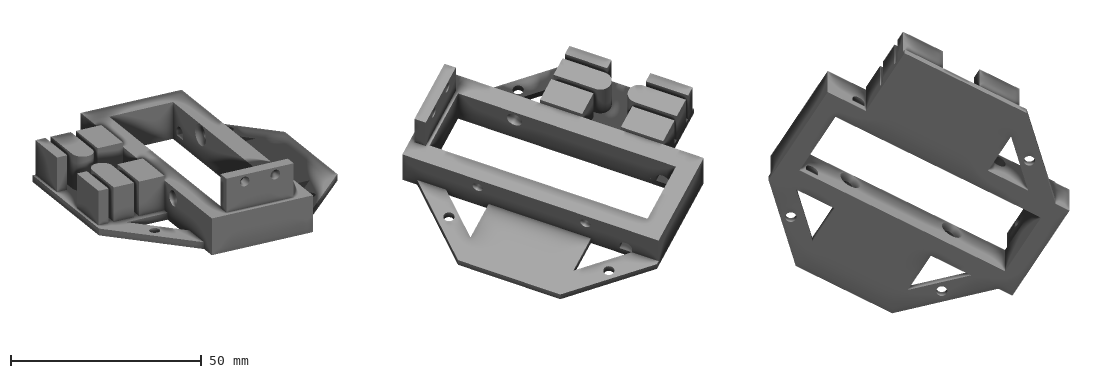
import cadquery as cq


frame_length = 73.05
frame_width = 30.0
frame_height = 8.7
opening_length = 62.1
opening_width = 18.9
opening_left = 5.55
wall = (frame_width - opening_width) / 2

plate_thickness = 2.0
frame_top = plate_thickness + frame_height
plate_front = -20.4
plate_back = 50.4
plate_front_left = 11.55
wing_left = 19.3
wing_right = 48.4
window_reach_left = 11.7
window_reach_right = 12.1
plate_hole_diameter = 2.9
plate_hole_left = 10.75
plate_hole_right = 56.3
plate_hole_back = 38.05
plate_hole_front = frame_width - plate_hole_back

tab_thickness = 3.2
tab_width = 20.0
tab_height = 9.85
tab_left = 68.5
tab_hole_diameter = 2.8
tab_hole_spacing = 9.05
tab_hole_drop = 2.05

screw_diameter = 2.9
access_diameter = 4.4
sink_diameter = 6.0
screw_z = 7.5
screw_right = 51.6
screw_left = 20.9
passage_diameter = 3.65
passage_x = 9.35
passage_z = 3.15

block_length = 12.05
block_height = 10.0
block_gap = 1.5
back_block_width = 7.5
middle_block_width = 6.0
front_block_width = 3.0
left_block_start = plate_front_left
right_block_start = 34.6


def box(x, y, z, length, width, height):
    """Box placed by its lowest corner."""
    return cq.Workplane("XY").box(length, width, height, centered=False).translate((x, y, z))


def triangle_window(corner_x, corner_y, leg_x, leg_y):
    """Right-angled triangular cutter through the plate."""
    return (
        cq.Workplane("XY")
        .moveTo(corner_x, corner_y)
        .lineTo(corner_x + leg_x, corner_y)
        .lineTo(corner_x, corner_y + leg_y)
        .close()
        .extrude(plate_thickness)
    )


def make_plate():
    """Plate with sloping 45 degree wings, windows and mounting holes."""
    back_drop = plate_back - frame_width
    outline = [
        (0, 0),
        (plate_front_left, 0),
        (plate_front_left, plate_front),
        (wing_right, plate_front),
        (wing_right - plate_front, 0),
        (frame_length, 0),
        (frame_length, frame_width),
        (wing_right + back_drop, frame_width),
        (wing_right, plate_back),
        (wing_left, plate_back),
        (0, plate_back - wing_left),
    ]
    plate = cq.Workplane("XY").polyline(outline).close().extrude(plate_thickness)
    plate = plate.cut(box(opening_left, wall, 0, opening_length, opening_width, plate_thickness))
    plate = plate.cut(triangle_window(wing_left, frame_width, -window_reach_left, window_reach_left))
    plate = plate.cut(triangle_window(wing_right, frame_width, window_reach_right, window_reach_right))
    plate = plate.cut(triangle_window(wing_right, 0, window_reach_right, -window_reach_right))
    holes = (
        cq.Workplane("XY")
        .pushPoints([
            (plate_hole_left, plate_hole_back),
            (plate_hole_right, plate_hole_back),
            (plate_hole_right, plate_hole_front),
        ])
        .circle(plate_hole_diameter / 2)
        .extrude(plate_thickness)
    )
    return plate.cut(holes)


def wall_bore(x, wall_front, diameter):
    """Round cutter through one long wall."""
    start = cq.Vector(x, wall_front, screw_z)
    return cq.Workplane(cq.Solid.makeCylinder(diameter / 2, wall, start, cq.Vector(0, 1, 0)))


def countersink(x, wall_front):
    """45 degree conical cutter on the -Y face of a long wall."""
    radius = screw_diameter / 2
    sink_radius = sink_diameter / 2
    sink_depth = sink_radius - radius
    start = cq.Vector(x, wall_front, screw_z)
    return cq.Workplane(cq.Solid.makeCone(sink_radius, radius, sink_depth, start, cq.Vector(0, 1, 0)))


def cable_passage():
    """Arched cutter through both long walls, open at the frame bottom."""
    radius = passage_diameter / 2
    return (
        cq.Workplane("XZ")
        .moveTo(passage_x - radius, plate_thickness)
        .lineTo(passage_x - radius, passage_z)
        .threePointArc((passage_x, passage_z + radius), (passage_x + radius, passage_z))
        .lineTo(passage_x + radius, plate_thickness)
        .close()
        .extrude(-frame_width)
    )


def make_tab():
    """Upright tab, centred on the frame width, with two holes along X."""
    tab_front = (frame_width - tab_width) / 2
    tab = box(tab_left, tab_front, frame_top, tab_thickness, tab_width, tab_height)
    hole_z = frame_top + tab_height - tab_hole_drop
    for side in (-1, 1):
        hole_y = (frame_width + side * tab_hole_spacing) / 2
        hole_start = cq.Vector(tab_left, hole_y, hole_z)
        hole = cq.Solid.makeCylinder(tab_hole_diameter / 2, tab_thickness, hole_start, cq.Vector(1, 0, 0))
        tab = tab.cut(cq.Workplane(hole))
    return tab


def make_frame():
    """Rectangular frame in one piece with its tab."""
    frame = box(0, 0, plate_thickness, frame_length, frame_width, frame_height)
    frame = frame.cut(
        box(opening_left, wall, plate_thickness, opening_length, opening_width, frame_height)
    )
    frame = frame.union(make_tab())
    back_wall_front = frame_width - wall
    frame = frame.cut(wall_bore(screw_right, 0, access_diameter))
    for x in (screw_left, screw_right):
        frame = frame.cut(wall_bore(x, back_wall_front, screw_diameter))
        frame = frame.cut(countersink(x, back_wall_front))
    return frame.cut(cable_passage())


def make_block(start_x, back_y, width):
    """Plain rectangular block whose back face is at back_y."""
    return box(start_x, back_y - width, plate_thickness, block_length, width, block_height)


def make_round_block(start_x, back_y, nose_x):
    """Block with a full-round nose centred at nose_x."""
    radius = middle_block_width / 2
    nose = (
        cq.Workplane("XY", origin=(nose_x, back_y - radius, plate_thickness))
        .circle(radius)
        .extrude(block_height)
    )
    return make_block(start_x, back_y, middle_block_width).union(nose)


plate = make_plate()
frame = make_frame()

middle_block_back = -back_block_width - block_gap
front_block_back = middle_block_back - middle_block_width - block_gap
nose_positions = {
    left_block_start: left_block_start + block_length,
    right_block_start: right_block_start,
}
blocks = []
for start_x, nose_x in nose_positions.items():
    blocks.append(make_block(start_x, 0, back_block_width))
    blocks.append(make_round_block(start_x, middle_block_back, nose_x))
    blocks.append(make_block(start_x, front_block_back, front_block_width))

result = cq.Compound.makeCompound([plate.val(), frame.val(), *[block.val() for block in blocks]])